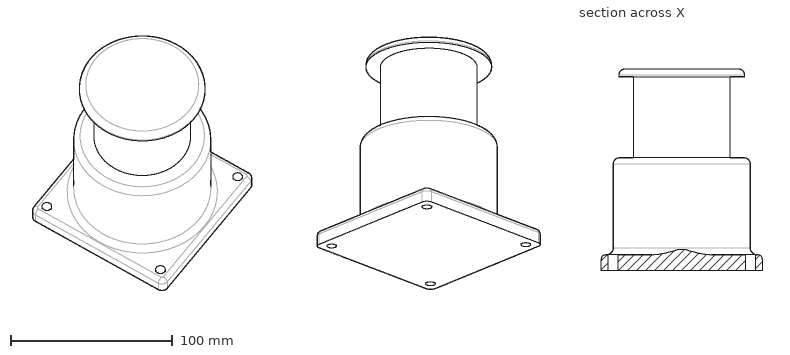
import cadquery as cq
import math

base_side = 100.0
base_height = 10.0
base_corner_radius = 4.0
base_edge_radius = 3.0

hole_diameter = 6.0
hole_spacing = 85.0

body_diameter = 85.0
body_top = 70.0
body_fillet = 4.0
stem_diameter = 60.0
cap_diameter = 78.0
cap_thickness = 5.0
cap_fillet = 4.0
total_height = 125.0
cap_bottom = total_height - cap_thickness


def make_base():
    """Rounded square plate resting on Z = 0."""
    plate = cq.Workplane("XY").rect(base_side, base_side).extrude(base_height)
    plate = plate.edges("|Z").fillet(base_corner_radius)
    return plate.faces(">Z").edges().fillet(base_edge_radius)


def make_cylinder(diameter, bottom, top):
    """Upright cylinder on the Z axis between two heights."""
    return cq.Workplane("XY").workplane(offset=bottom).circle(diameter / 2).extrude(top - bottom)


def make_flare():
    """Concave ring that blends the foot of the body into the base plate."""
    body_radius = body_diameter / 2
    outer_radius = body_radius + body_fillet
    flare_top = base_height + body_fillet
    arc_offset = body_fillet * math.sqrt(0.5)
    return (
        cq.Workplane("XZ")
        .moveTo(0, 0)
        .lineTo(outer_radius, 0)
        .lineTo(outer_radius, base_height)
        .threePointArc((outer_radius - arc_offset, flare_top - arc_offset), (body_radius, flare_top))
        .lineTo(0, flare_top)
        .close()
        .revolve(360, (0, 0, 0), (0, 1, 0))
    )


body = make_cylinder(body_diameter, 0, body_top).faces(">Z").edges().fillet(body_fillet)
stem = make_cylinder(stem_diameter, 0, cap_bottom)
cap = make_cylinder(cap_diameter, cap_bottom, total_height).faces(">Z").edges().fillet(cap_fillet)

holes = (
    cq.Workplane("XY")
    .rect(hole_spacing, hole_spacing, forConstruction=True)
    .vertices()
    .circle(hole_diameter / 2)
    .extrude(base_height)
)

result = make_base().union(make_flare()).union(body).union(stem).union(cap).cut(holes)